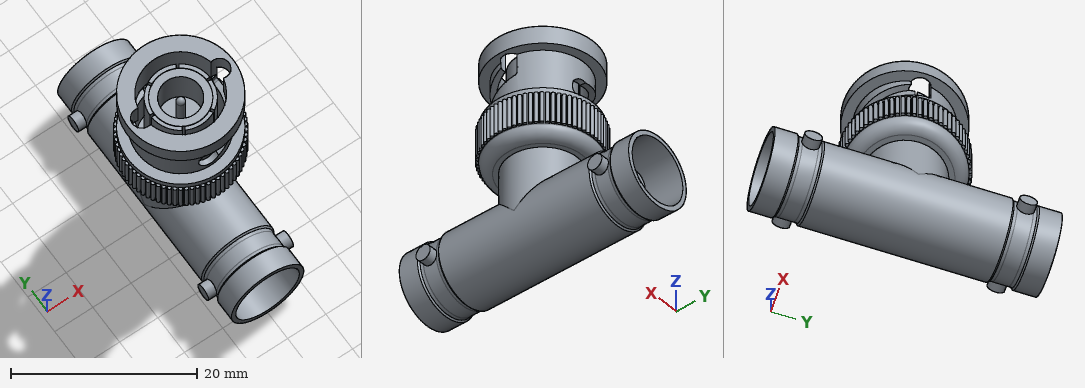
import cadquery as cq
import math


tee_length = 32.5
tube_radius = 4.75
jack_bore_radius = 4.15
jack_bore_depth = 8.45
insulator_radius = 1.6
insulator_setback = 3.12
contact_radius = 0.98
contact_recess = 0.15
contact_hole_radius = 0.6
contact_hole_depth = 3.25

groove_setback = 4.1
groove_floor_radius = 4.5
groove_floor_width = 1.82
groove_mouth_width = 3.0
groove_chamfer = 0.2
pin_radius = 1.0
pin_reach = 5.55

nut_top = 22.5
plug_recess = 1.0
shoulder_height = 0.98
plug_radius = 3.93
plug_insulator_radius = 3.45
plug_insulator_recess = 0.1
plug_bore_radius = 2.47
plug_bore_depth = 5.2
center_pin_radius = 0.52
center_pin_recess = 0.55
slit_count = 6
slit_width = 0.3
slit_depth = 3.87

flange_radius = 6.9
flange_height = 2.3
sleeve_radius = 5.65
nut_bore_radius = 4.9
collar_top = 14.15
knurl_top = 13.33
knurl_bottom = 9.33
knurl_crest_radius = 7.235
knurl_count = 72
rib_share = 0.7
nut_bottom = 7.75
nut_bottom_fillet = 1.5

notch_radius = 1.2
notch_offset = 5.1
ramp_height = 2.55
ramp_rise = 2.35
ramp_angle = 90.0
detent_radius = 1.45
detent_level = 16.15
ramp_corner_fillet = 0.3

jack_end = tee_length / 2
groove_middle = jack_end - groove_setback
plug_top = nut_top - plug_recess
nut_floor = knurl_bottom


def cylinder_z(radius, bottom, top):
    return cq.Workplane("XY").workplane(offset=bottom).circle(radius).extrude(top - bottom)


def cylinder_y(radius, start, end):
    return cq.Workplane("XZ").workplane(offset=-start).circle(radius).extrude(start - end)


def groove_ring():
    """Ring removed around the +Y jack: flat floor, curved flanks, chamfered mouth."""
    half_floor = groove_floor_width / 2
    half_mouth = groove_mouth_width / 2
    half_ring = (
        cq.Workplane("XY")
        .moveTo(groove_floor_radius, groove_middle)
        .lineTo(groove_floor_radius, groove_middle + half_floor)
        .tangentArcPoint(
            (tube_radius - groove_chamfer, groove_middle + half_mouth - groove_chamfer), relative=False
        )
        .lineTo(tube_radius, groove_middle + half_mouth)
        .lineTo(tube_radius + groove_chamfer, groove_middle + half_mouth)
        .lineTo(tube_radius + groove_chamfer, groove_middle)
        .close()
        .revolve(360, (0, 0, 0), (0, 1, 0))
    )
    return half_ring.union(half_ring.mirror("XZ", (0, groove_middle, 0)))


def jack_cavity():
    """Bore of the +Y jack around its standing insulator, with the contact recess and hole."""
    insulator_end = jack_end - insulator_setback
    contact_end = insulator_end - contact_recess
    cavity = cylinder_y(jack_bore_radius, jack_end - jack_bore_depth, jack_end)
    cavity = cavity.cut(cylinder_y(insulator_radius, jack_end - jack_bore_depth, insulator_end))
    cavity = cavity.union(cylinder_y(contact_radius, contact_end, insulator_end))
    return cavity.union(cylinder_y(contact_hole_radius, contact_end - contact_hole_depth, contact_end))


def bayonet_pin(side):
    """Pin on the +Y jack, rooted inside the wall, on the +X (1) or -X (-1) side."""
    root = (groove_floor_radius + jack_bore_radius) / 2
    return (
        cq.Workplane("YZ")
        .workplane(offset=side * root)
        .center(groove_middle, 0)
        .circle(pin_radius)
        .extrude(side * (pin_reach - root))
    )


def plug_slits():
    """Slits with round bottoms through the outer ring of the plug."""
    straight_depth = slit_depth - slit_width / 2
    slit = (
        cq.Workplane("YZ")
        .workplane(offset=plug_insulator_radius)
        .moveTo(-slit_width / 2, plug_top)
        .lineTo(-slit_width / 2, plug_top - straight_depth)
        .threePointArc((0, plug_top - slit_depth), (slit_width / 2, plug_top - straight_depth))
        .lineTo(slit_width / 2, plug_top)
        .close()
        .extrude(nut_bore_radius - plug_insulator_radius)
    )
    slits = cq.Workplane("XY")
    for index in range(slit_count):
        slits = slits.add(slit.rotate((0, 0, 0), (0, 0, 1), index * 360 / slit_count))
    return slits


def center_pin():
    """Round-ended contact pin standing in the plug bore."""
    pin_bottom = plug_top - plug_bore_depth
    tip_centre = plug_top - center_pin_recess - center_pin_radius
    tip = cq.Workplane("XY").sphere(center_pin_radius).translate((0, 0, tip_centre))
    return cylinder_z(center_pin_radius, pin_bottom, tip_centre).union(tip)


def make_tee():
    tee = cylinder_y(tube_radius, -jack_end, jack_end)
    tee = tee.union(cylinder_z(tube_radius, 0, nut_floor))
    tee = tee.union(cylinder_z(nut_bore_radius, nut_floor, nut_floor + shoulder_height))
    tee = tee.union(cylinder_z(plug_radius, 0, plug_top))
    for cutter in (groove_ring(), jack_cavity()):
        tee = tee.cut(cutter).cut(cutter.mirror("XZ"))
    for side in (-1, 1):
        pin = bayonet_pin(side)
        tee = tee.union(pin).union(pin.mirror("XZ"))
    tee = tee.cut(cylinder_z(plug_insulator_radius, plug_top - plug_insulator_recess, plug_top))
    tee = tee.cut(cylinder_z(plug_bore_radius, plug_top - plug_bore_depth, plug_top))
    for slit in plug_slits().vals():
        tee = tee.cut(cq.Workplane(slit))
    return tee.union(center_pin())


def knurl_band():
    """Band of rounded ribs around the collar, with narrow valleys between them."""
    half_pitch = math.pi / knurl_count

    def rim_point(radius, half_steps):
        angle = half_steps * half_pitch
        return (radius * math.cos(angle), radius * math.sin(angle))

    outline = cq.Workplane("XY").workplane(offset=knurl_bottom).moveTo(*rim_point(flange_radius, -rib_share))
    for rib in range(knurl_count):
        middle = 2 * rib
        crest = rim_point(knurl_crest_radius, middle)
        outline = outline.threePointArc(crest, rim_point(flange_radius, middle + rib_share))
        valley = rim_point(flange_radius, middle + 1)
        outline = outline.threePointArc(valley, rim_point(flange_radius, middle + 2 - rib_share))
    return outline.close().extrude(knurl_top - knurl_bottom)


def slot_ramp():
    """Helical ramp rising from the detent at -Y, past +X, to the far side of the entry notch."""
    overrun_cosine = (sleeve_radius**2 + notch_offset**2 - notch_radius**2) / (2 * sleeve_radius * notch_offset)
    sweep_angle = ramp_angle + math.degrees(math.acos(overrun_cosine))
    total_rise = ramp_rise * sweep_angle / ramp_angle
    path = cq.Wire.makeHelix(ramp_rise * 360 / ramp_angle, total_rise, sleeve_radius)
    ramp = (
        cq.Workplane("XZ")
        .center((plug_radius + flange_radius) / 2, 0)
        .rect(flange_radius - plug_radius, ramp_height)
        .sweep(cq.Workplane(path), isFrenet=True)
    )
    low_corner = (
        sleeve_radius * math.cos(math.radians(sweep_angle)),
        sleeve_radius * math.sin(math.radians(sweep_angle)),
        total_rise - ramp_height / 2,
    )
    ramp = ramp.edges(cq.selectors.NearestToPointSelector(low_corner)).fillet(ramp_corner_fillet)
    return ramp.rotate((0, 0, 0), (0, 0, 1), -ramp_angle).translate((0, 0, detent_level))


def bayonet_slot():
    """Entry notch on +X, ramp down to -Y, and the round detent at its end."""
    notch = cylinder_z(notch_radius, detent_level + ramp_rise, nut_top).translate((notch_offset, 0, 0))
    detent = cylinder_y(detent_radius, -flange_radius, 0).translate((0, 0, detent_level))
    return notch, slot_ramp(), detent


def make_nut():
    nut = cylinder_z(flange_radius, nut_bottom, collar_top)
    nut = nut.faces("<Z").edges().fillet(nut_bottom_fillet)
    nut = nut.union(knurl_band())
    nut = nut.union(cylinder_z(sleeve_radius, collar_top, nut_top))
    nut = nut.union(cylinder_z(flange_radius, nut_top - flange_height, nut_top))
    nut = nut.cut(cylinder_z(nut_bore_radius, nut_floor, nut_top))
    nut = nut.cut(cylinder_z(tube_radius, nut_bottom, nut_floor))
    for cutter in bayonet_slot():
        nut = nut.cut(cutter).cut(cutter.rotate((0, 0, 0), (0, 0, 1), 180))
    return nut


tee_body = make_tee()
bayonet_nut = make_nut()

result = cq.Compound.makeCompound([tee_body.val(), bayonet_nut.val()])